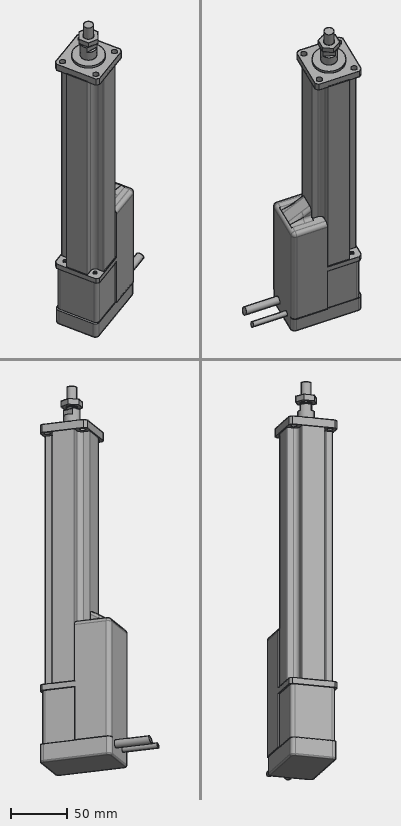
import cadquery as cq
import math

overall_height = 355.5
overall_depth = 102.67
housing_width = 45.0
housing_half = housing_width / 2
base_front = -23.0

base_top = 17.0
plate_bottom = 67.0
plate_top = 72.5
profile_top = 309.0
flange_top = 316.5
collar_top = 319.0
rod_top = 334.0
nut_bottom = 337.0
nut_top = 342.3
cover_top = 129.0

body_width = 43.0
body_half = body_width / 2
body_corner_radius = 4.0
gear_half = 21.0
gear_corner_radius = 3.5
base_edge_radius = 1.5
plate_corner_chamfer = 2.5
plate_bolt_diameter = 3.5
plate_tap_diameter = 2.5
plate_bolt_depth = 1.5
flange_hole_diameter = 5.5
flange_hole_pitch = 34.0
collar_diameter = 30.16

channel_radius = 4.7
channel_center = 15.5
channel_wall = channel_center - channel_radius
channel_lip_radius = 0.5

cover_front = 11.3
cover_back = 45.5
cover_radius = 4.0
hump_half_width = 9.6
hump_radius = 3.8
hump_wall_minimum = 0.02
hump_root_depth = 8.0
hump_slope = math.radians(30)

cables = [(-8.7, 5.0), (9.0, 7.5)]
cable_height = 13.1
cable_tip = base_front + overall_depth
cable_cut_angle = math.radians(15)

rod_diameter = 15.0
rod_flat_width = 10.0
rod_flat_length = 5.5
rod_flat_angle = -22.0
stud_diameter = 9.0
nut_boss_diameter = 10.5
nut_boss_height = 1.0
countersink_diameter = 10.0
nut_across_flats = 17.0


def block(x_half, y_min, y_max, z_min, z_max):
    """Box centred on X = 0 between the given Y and Z limits."""
    return cq.Workplane("XY").box(
        2 * x_half, y_max - y_min, z_max - z_min, centered=(True, False, False)
    ).translate((0, y_min, z_min))


def cylinder(diameter, z_min, z_max):
    """Cylinder on the rod axis."""
    return cq.Workplane("XY").workplane(offset=z_min).circle(diameter / 2).extrude(z_max - z_min)


def make_base():
    base = block(body_half, base_front, cover_back, 0, base_top)
    base = base.edges("|Z").fillet(body_corner_radius)
    return base.faces("<Z").edges().fillet(base_edge_radius)


def make_gear_block():
    gear_block = block(gear_half, -gear_half, cover_back - cover_radius, base_top, plate_bottom)
    return gear_block.edges("|Z and <Y").fillet(gear_corner_radius)


def make_plate():
    """Plate under the profile, with a bolt hole in each corner channel."""
    plate = block(housing_half, -housing_half, housing_half, plate_bottom, plate_top)
    plate = plate.edges("|Z and <Y").chamfer(plate_corner_chamfer)
    bolts = plate.faces(">Z").workplane(origin=(0, 0, plate_top))
    bolts = bolts.rect(2 * channel_center, 2 * channel_center, forConstruction=True).vertices()
    return bolts.cboreHole(plate_tap_diameter, plate_bolt_diameter, plate_bolt_depth)


def make_profile():
    height = profile_top - plate_top
    profile = cq.Workplane("XY").workplane(offset=plate_top).rect(body_width, body_width).extrude(height)
    arc_middle = channel_center - channel_radius * math.sqrt(0.5)
    channel = (
        cq.Workplane("XY")
        .workplane(offset=plate_top)
        .moveTo(body_half, channel_wall)
        .lineTo(channel_center, channel_wall)
        .threePointArc((arc_middle, arc_middle), (channel_wall, channel_center))
        .lineTo(channel_wall, body_half)
        .lineTo(body_half, body_half)
        .close()
        .extrude(height)
    )
    for turn in range(4):
        profile = profile.cut(channel.rotate((0, 0, 0), (0, 0, 1), 90 * turn))
    for side in (">X", "<X", ">Y", "<Y"):
        profile = profile.faces(side).edges("|Z").fillet(channel_lip_radius)
    return profile


def make_flange():
    """Square mounting flange with its round locating collar."""
    flange = block(housing_half, -housing_half, housing_half, profile_top, flange_top)
    flange = flange.edges("|Z").chamfer(plate_corner_chamfer)
    holes = cq.Workplane("XY").workplane(offset=profile_top)
    holes = holes.rect(flange_hole_pitch, flange_hole_pitch, forConstruction=True).vertices()
    flange = flange.cut(holes.circle(flange_hole_diameter / 2).extrude(flange_top - profile_top))
    return flange.union(cylinder(collar_diameter, flange_top, collar_top))


def hump_section(y, top_z):
    """Closed outline of the hump at one Y.

    Each flank is a hollow arc at the foot and a round arc at the shoulder, joined by an upright wall.
    Where the hump is too low for full quarter arcs, the two arcs flatten into a shallow S.
    """
    foot_z = cover_top
    height = top_z - foot_z
    rise = min((height - hump_wall_minimum) / 2, hump_radius)
    arc_radius = (hump_radius**2 + rise**2) / (2 * rise)
    half_sweep = math.atan(rise / hump_radius)
    mid_run = arc_radius * math.sin(half_sweep)
    mid_rise = arc_radius * (1 - math.cos(half_sweep))
    foot_x = hump_half_width + hump_radius
    shoulder_x = hump_half_width - hump_radius

    return (
        cq.Workplane("XZ", origin=(0, y, 0))
        .moveTo(-foot_x, foot_z - hump_root_depth)
        .lineTo(-foot_x, foot_z)
        .threePointArc((-foot_x + mid_run, foot_z + mid_rise), (-hump_half_width, foot_z + rise))
        .lineTo(-hump_half_width, top_z - rise)
        .threePointArc((-shoulder_x - mid_run, top_z - mid_rise), (-shoulder_x, top_z))
        .lineTo(shoulder_x, top_z)
        .threePointArc((shoulder_x + mid_run, top_z - mid_rise), (hump_half_width, top_z - rise))
        .lineTo(hump_half_width, foot_z + rise)
        .threePointArc((foot_x - mid_run, foot_z + mid_rise), (foot_x, foot_z))
        .lineTo(foot_x, foot_z - hump_root_depth)
        .close()
        .val()
    )


def make_hump():
    """Hump whose top slopes down to nothing near the rounded upper back edge of the cover."""
    tangent_y = cover_back - cover_radius * (1 - math.sin(hump_slope))
    tangent_z = cover_top - cover_radius * (1 - math.cos(hump_slope))
    hump_front = body_half - channel_lip_radius
    front_top = tangent_z + (tangent_y - hump_front) * math.tan(hump_slope)
    full_arc_top = cover_top + 2 * hump_radius + hump_wall_minimum
    back_top = cover_top + 2 * hump_wall_minimum

    sections = []
    for top_z in (front_top, full_arc_top, back_top):
        y = tangent_y - (top_z - tangent_z) / math.tan(hump_slope)
        sections.append(hump_section(y, top_z))
    return cq.Workplane(cq.Solid.makeLoft(sections, True))


def make_cover():
    """Motor cover with rounded upright back corners and rounded top edges."""
    cover = block(housing_half, cover_front, cover_back, base_top, cover_top)
    cover = cover.edges("(|Z and >Y) or (>Z and |Y) or (>Z and >Y)").fillet(cover_radius)
    return cover.union(make_hump())


def make_cable(x, diameter):
    """Cable out of the back of the base, cut off at a slant so that its underside is longer."""
    radius = diameter / 2
    setback = diameter * math.tan(cable_cut_angle)
    cable = cq.Workplane("XZ", origin=(x, cover_back - cover_radius, cable_height)).circle(radius)
    cable = cable.extrude(-(cable_tip - cover_back + cover_radius))
    tip_cut = (
        cq.Workplane("YZ", origin=(x, cable_tip, cable_height - radius))
        .lineTo(-setback, diameter)
        .lineTo(0, diameter)
        .close()
        .extrude(radius, both=True)
    )
    return cable.cut(tip_cut)


def make_housing():
    housing = make_base()
    for piece in (make_gear_block(), make_plate(), make_cover(), make_profile(), make_flange()):
        housing = housing.union(piece)
    for x, diameter in cables:
        housing = housing.union(make_cable(x, diameter))
    return housing.cut(cylinder(rod_diameter, profile_top, collar_top))


def make_rod():
    """Rod with two wrench flats and a plain stud that carries the nut; its foot sits in the flange."""
    rod = cylinder(rod_diameter, profile_top, rod_top)
    flats = cylinder(2 * rod_diameter, rod_top - rod_flat_length, rod_top).cut(
        cq.Workplane("XY")
        .workplane(offset=rod_top - rod_flat_length)
        .rect(rod_flat_width, 2 * rod_diameter)
        .extrude(rod_flat_length)
    )
    rod = rod.cut(flats.rotate((0, 0, 0), (0, 0, 1), rod_flat_angle))
    return rod.union(cylinder(stud_diameter, rod_top, overall_height))


def make_nut():
    """Hexagon nut with a countersunk bore on top and a round boss underneath."""
    across_corners = nut_across_flats / math.cos(math.pi / 6)
    nut = cq.Workplane("XY").workplane(offset=nut_bottom)
    nut = nut.polygon(6, across_corners).extrude(nut_top - nut_bottom)
    nut = nut.union(cylinder(nut_boss_diameter, nut_bottom - nut_boss_height, nut_bottom))
    nut = nut.cut(cylinder(stud_diameter, nut_bottom - nut_boss_height, nut_top))
    bore_rim = nut.faces(">Z").edges("%CIRCLE")
    return bore_rim.chamfer((countersink_diameter - stud_diameter) / 2)


housing = make_housing()
rod = make_rod()
nut = make_nut()

result = cq.Compound.makeCompound([body.solids().val() for body in (housing, rod, nut)])